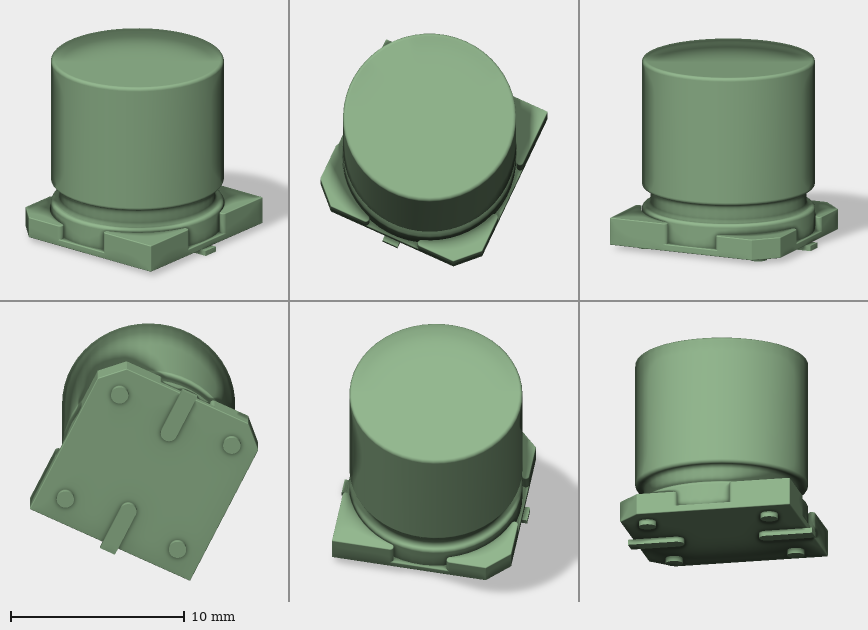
import cadquery as cq
import math

total_height = 10.8
foot_height = 0.3

can_diameter = 10.0
neck_diameter = 9.0
can_radius = can_diameter / 2
neck_radius = neck_diameter / 2
neck_bottom = 2.11
neck_top = 3.22
can_round = 0.2

base_size = 10.3
base_half = base_size / 2
corner_cut = 1.25
plate_thickness = 0.39
plate_top = foot_height + plate_thickness
low_post_top = 1.54
high_post_top = 1.92
pocket_clearance = 0.04
pocket_radius = can_radius + pocket_clearance
post_end_radius = 0.21
edge_round = 0.05

lead_reach = 5.45
lead_length = 3.23
lead_width = 0.95
foot_diameter = 1.0
foot_offset = 3.6


def make_can():
    """Turned can standing on the plate, with a rounded neck near its foot."""
    r = can_round
    s = r * math.sqrt(0.5)

    def quarter(outline, center, side, up, start_on_wall):
        """Add a quarter round; side and up point from its centre to the arc."""
        cx, cz = center
        end = (cx, cz + up * r) if start_on_wall else (cx + side * r, cz)
        return outline.threePointArc((cx + side * s, cz + up * s), end)

    outer = can_radius - r
    inner = neck_radius + r
    outline = cq.Workplane("XZ").moveTo(0, plate_top).lineTo(can_radius, plate_top)
    outline = outline.lineTo(can_radius, neck_bottom - r)
    outline = quarter(outline, (outer, neck_bottom - r), 1, 1, True)
    outline = outline.lineTo(inner, neck_bottom)
    outline = quarter(outline, (inner, neck_bottom + r), -1, -1, False)
    outline = outline.lineTo(neck_radius, neck_top - r)
    outline = quarter(outline, (inner, neck_top - r), -1, 1, True)
    outline = outline.lineTo(outer, neck_top)
    outline = quarter(outline, (outer, neck_top + r), 1, -1, False)
    outline = outline.lineTo(can_radius, total_height - r)
    outline = quarter(outline, (outer, total_height - r), 1, 1, True)
    return outline.lineTo(0, total_height).close().revolve(360, (0, 0), (0, 1))


def make_plate():
    """Square base plate with two cut corners and all edges softened."""
    plate = cq.Workplane("XY").rect(base_size, base_size).extrude(plate_thickness)
    plate = plate.edges("|Z and <X").chamfer(corner_cut)
    return plate.edges().fillet(edge_round).translate((0, 0, foot_height))


def make_post(corner_is_cut, top):
    """Corner post in the +X +Y quadrant, wrapped around the can pocket."""
    tip_far = base_half - post_end_radius
    tip_near = math.sqrt((pocket_radius + post_end_radius) ** 2 - tip_far ** 2)
    to_wall = pocket_radius / (pocket_radius + post_end_radius)
    wall_near = tip_near * to_wall
    wall_far = tip_far * to_wall
    middle = pocket_radius * math.sqrt(0.5)
    face_direction = math.pi / 2
    wall_direction = math.pi + math.atan2(tip_far, tip_near)
    half_angle = (face_direction + wall_direction) / 2
    bulge_near = tip_near + post_end_radius * math.cos(half_angle)
    bulge_far = tip_far + post_end_radius * math.sin(half_angle)

    outline = cq.Workplane("XY").moveTo(tip_near, base_half)
    if corner_is_cut:
        outline = outline.lineTo(base_half - corner_cut, base_half)
        outline = outline.lineTo(base_half, base_half - corner_cut)
    else:
        outline = outline.lineTo(base_half, base_half)
    outline = (
        outline.lineTo(base_half, tip_near)
        .threePointArc((bulge_far, bulge_near), (wall_far, wall_near))
        .threePointArc((middle, middle), (wall_near, wall_far))
        .threePointArc((bulge_near, bulge_far), (tip_near, base_half))
        .close()
    )
    root = (foot_height + plate_top) / 2
    post = outline.extrude(top - root).translate((0, 0, root))
    corner_start = base_half - corner_cut - edge_round
    corner_edges = cq.selectors.BoxSelector(
        (corner_start, corner_start, 0),
        (base_size, base_size, top),
    )
    post = post.edges("|Z").edges(corner_edges).fillet(edge_round)
    return post.faces(">Z").edges().fillet(edge_round)


def make_posts():
    """High posts at the square corners, low posts at the cut corners."""
    high = make_post(False, high_post_top)
    low = make_post(True, low_post_top).mirror("YZ")
    pair = high.union(low)
    return pair.union(pair.mirror("XZ"))


def make_leads():
    """Two flat leads along X, each with a half-round inner end under the base."""
    straight = lead_length - lead_width / 2
    lead = (
        cq.Workplane("XY")
        .moveTo(lead_reach, lead_width / 2)
        .lineTo(lead_reach - straight, lead_width / 2)
        .threePointArc((lead_reach - lead_length, 0), (lead_reach - straight, -lead_width / 2))
        .lineTo(lead_reach, -lead_width / 2)
        .close()
        .extrude(foot_height)
    )
    return lead.union(lead.mirror("YZ"))


def make_feet():
    """Four round feet, one under each corner of the base."""
    pitch = 2 * foot_offset
    return cq.Workplane("XY").rarray(pitch, pitch, 2, 2).circle(foot_diameter / 2).extrude(foot_height)


result = make_plate().union(make_posts()).union(make_can()).union(make_leads()).union(make_feet())